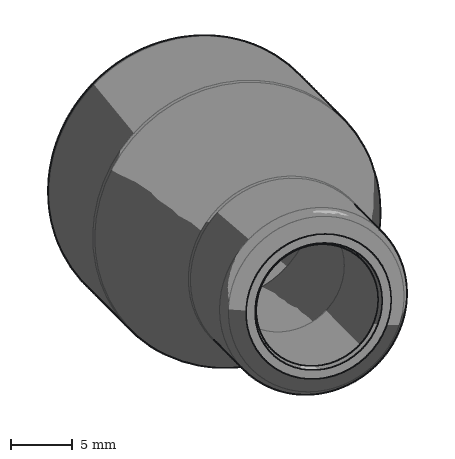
import cadquery as cq
import math

length = 38.0
large_radius = 24.4 / 2
small_radius = 15.9 / 2
large_bore_radius = 16.05 / 2
small_bore_radius = 10.35 / 2

large_straight = 15.0
small_straight = 10.0
large_bore_depth = 10.0
small_bore_depth = small_straight

land_width = 0.75
bevel_angle = math.radians(30)
bore_chamfer_width = 0.23
bore_chamfer_length = bore_chamfer_width / math.tan(bevel_angle)

bevel_fillet = 1.0
taper_fillet = 1.2
edge_tolerance = 0.05


def face_radius(bore_radius):
    """Outer radius of the flat land around a bore."""
    return bore_radius + bore_chamfer_width + land_width


def bevel_length(outer_radius, bore_radius):
    """Axial length of the outer bevel."""
    return (outer_radius - face_radius(bore_radius)) * math.tan(bevel_angle)


def make_outer_body():
    large_bevel_end = bevel_length(large_radius, large_bore_radius)
    small_bevel_start = length - bevel_length(small_radius, small_bore_radius)
    taper_start = large_straight
    taper_end = length - small_straight
    body = (
        cq.Workplane("XY")
        .moveTo(0, 0)
        .lineTo(0, face_radius(large_bore_radius))
        .lineTo(large_bevel_end, large_radius)
        .lineTo(taper_start, large_radius)
        .lineTo(taper_end, small_radius)
        .lineTo(small_bevel_start, small_radius)
        .lineTo(length, face_radius(small_bore_radius))
        .lineTo(length, 0)
        .close()
        .revolve(360, (0, 0, 0), (1, 0, 0))
    )
    fillets = (
        (large_bevel_end, large_radius, bevel_fillet),
        (taper_start, large_radius, taper_fillet),
        (taper_end, small_radius, taper_fillet),
        (small_bevel_start, small_radius, bevel_fillet),
    )
    for position, radius, fillet_radius in fillets:
        reach = radius + edge_tolerance
        edge_box = cq.selectors.BoxSelector(
            (position - edge_tolerance, -reach, -reach),
            (position + edge_tolerance, reach, reach),
            boundingbox=True,
        )
        body = body.edges(edge_box).fillet(fillet_radius)
    return body


def make_bore():
    return (
        cq.Workplane("XY")
        .moveTo(0, 0)
        .lineTo(0, large_bore_radius + bore_chamfer_width)
        .lineTo(bore_chamfer_length, large_bore_radius)
        .lineTo(large_bore_depth, large_bore_radius)
        .lineTo(length - small_bore_depth, small_bore_radius)
        .lineTo(length - bore_chamfer_length, small_bore_radius)
        .lineTo(length, small_bore_radius + bore_chamfer_width)
        .lineTo(length, 0)
        .close()
        .revolve(360, (0, 0, 0), (1, 0, 0))
    )


result = make_outer_body().cut(make_bore())